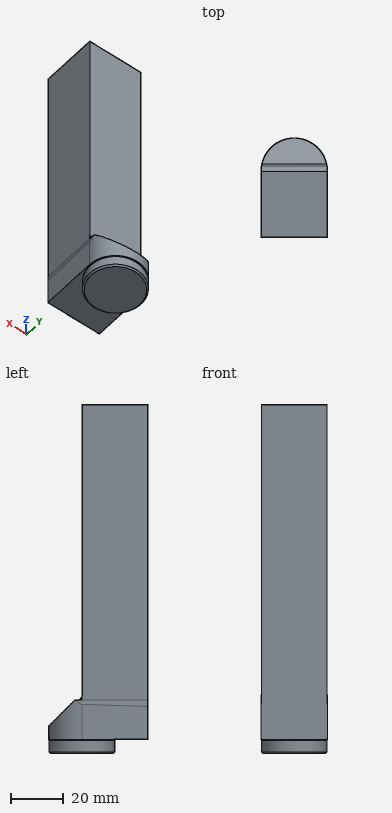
import cadquery as cq

total_height = 132.3
shank_side = 25.0
head_width = 25.3
head_radius = head_width / 2
nose_tip_y = 37.7
nose_center_y = nose_tip_y - head_radius

foot_diameter = 25.0
foot_height = 5.4
foot_bottom_chamfer = 0.7
foot_top_chamfer = 0.4

ledge_z = 20.2
nose_slope_start_z = 10.3
root_fillet = 2.0
side_bevel_back_height = 1.6
side_bevel_front_height = 2.4

side_step = (head_width - shank_side) / 2


def make_shank():
    """Square bar standing on the head."""
    return (
        cq.Workplane("XY", origin=(0, shank_side / 2, foot_height))
        .rect(shank_side, shank_side)
        .extrude(total_height - foot_height)
    )


def make_head_plan():
    """Block with a half-round nose at the back, tall enough to hold the root fillet."""
    return (
        cq.Workplane("XY", origin=(0, 0, foot_height))
        .moveTo(-head_radius, 0)
        .lineTo(head_radius, 0)
        .lineTo(head_radius, nose_center_y)
        .threePointArc((0, nose_tip_y), (-head_radius, nose_center_y))
        .close()
        .extrude(ledge_z + root_fillet - foot_height)
    )


def make_head_profile():
    """Side outline: 45 degree nose slope, short ledge and fillet up to the shank."""
    slope_run = ledge_z - nose_slope_start_z
    fillet_center = (shank_side + root_fillet, ledge_z + root_fillet)
    fillet_mid_offset = root_fillet / 2**0.5
    return (
        cq.Workplane("YZ")
        .moveTo(0, foot_height)
        .lineTo(nose_tip_y, foot_height)
        .lineTo(nose_tip_y, nose_slope_start_z)
        .lineTo(nose_tip_y - slope_run, ledge_z)
        .lineTo(shank_side + root_fillet, ledge_z)
        .threePointArc(
            (fillet_center[0] - fillet_mid_offset, fillet_center[1] - fillet_mid_offset),
            (shank_side, ledge_z + root_fillet),
        )
        .lineTo(shank_side, ledge_z)
        .lineTo(0, ledge_z)
        .close()
        .extrude(head_radius, both=True)
    )


def make_side_bevel():
    """Wedge removed from the +X flank, deepening slightly toward the front."""
    front = cq.Vector(head_radius, 0, ledge_z - side_bevel_front_height)
    back = cq.Vector(head_radius, shank_side, ledge_z - side_bevel_back_height)
    overrun = back - front
    sections = []
    for low in (front - overrun, back + overrun):
        inner = cq.Vector(head_radius - side_step, low.y, ledge_z)
        outer = cq.Vector(head_radius, low.y, ledge_z)
        sections.append(cq.Wire.makePolygon([low, inner, outer], close=True))
    return cq.Workplane(cq.Solid.makeLoft(sections, True))


def make_foot():
    """Round foot concentric with the nose."""
    return (
        cq.Workplane("XY", origin=(0, nose_center_y, 0))
        .circle(foot_diameter / 2)
        .extrude(foot_height)
        .faces("<Z")
        .chamfer(foot_bottom_chamfer)
        .faces(">Z")
        .chamfer(foot_top_chamfer)
    )


side_bevel = make_side_bevel()
head = make_head_plan().intersect(make_head_profile())
head = head.cut(side_bevel).cut(side_bevel.mirror("YZ"))

result = make_shank().union(head).union(make_foot())